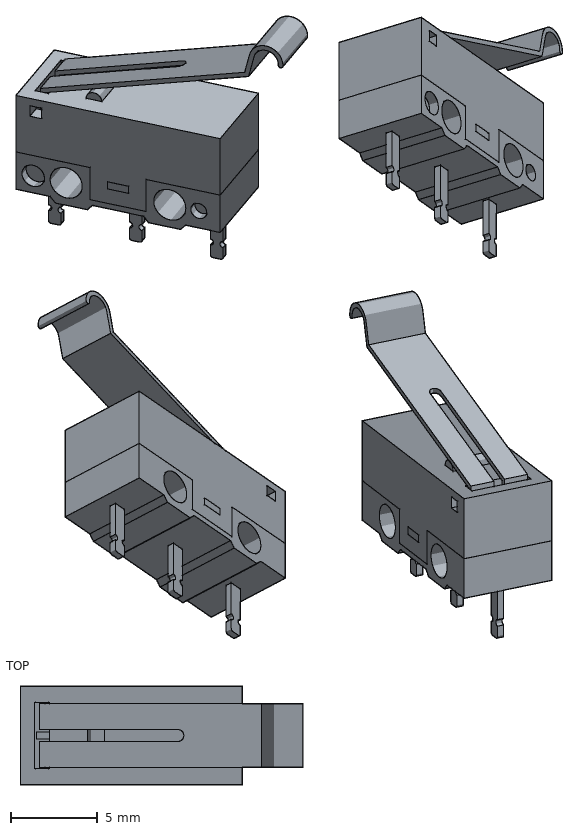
import cadquery as cq
import math


OVERALL_LENGTH = 16.31
OVERALL_HEIGHT = 15.9

HOUSING_LENGTH = 12.8
HOUSING_DEPTH = 5.7
HOUSING_HEIGHT = 6.26
BASE_HEIGHT = 2.5
MIDDLE_X = HOUSING_LENGTH / 2

TONGUE_WIDTH = 3.49
TONGUE_BOTTOM = 0.36
TONGUE_THICKNESS = 0.49
LATCH_WIDTH = 1.34
LATCH_HEIGHT = 0.47
LATCH_BOTTOM = 1.32

FOOT_OFFSET = 2.92
FOOT_HEIGHT = 0.36
FOOT_TOP_LENGTH = 2.65
FOOT_BOTTOM_LENGTH = 2.0

HOLE_Z = 1.14
MOUNTING_HOLE_DIAMETER = 2.0
MOUNTING_HOLE_OFFSET = 3.25
LEFT_RECESS_X = 1.1
LEFT_RECESS_DIAMETER = 1.4
RIGHT_RECESS_X = 11.47
RIGHT_RECESS_DIAMETER = 1.0
RECESS_DEPTH = 0.6

TERMINAL_PITCH = 5.07
TERMINAL_WIDTH = 0.8
TERMINAL_THICKNESS = 0.4
TERMINAL_LENGTH_BELOW = 3.44
TERMINAL_TIP_FILLET = 0.16
TERMINAL_NOTCH_RADIUS = 0.2
TERMINAL_NOTCH_Z = -2.43
TERMINAL_XS = [MIDDLE_X + i * TERMINAL_PITCH for i in (-1, 0, 1)]

LEVER_WIDTH = 3.69
LEVER_THICKNESS = 0.3
LEVER_LEG_X = 1.11
LEVER_CORNER_Z = 6.45
ARM_ANGLE = math.radians(17.2)
STEM_ANGLE = math.radians(76.2)
HOOK_RADIUS = 1.06
HOOK_INNER_RADIUS = HOOK_RADIUS - LEVER_THICKNESS
HOOK_END_ANGLE = math.radians(-3)
HOOK_X = OVERALL_LENGTH - HOOK_RADIUS
HOOK_Z = OVERALL_HEIGHT - TERMINAL_LENGTH_BELOW - HOOK_RADIUS
LEVER_SLOT_WIDTH = 0.69
LEVER_SLOT_END_X = 9.43

LEVER_OPENING_X = 0.82
LEVER_OPENING_LENGTH = 0.85
LEVER_OPENING_WIDTH = 3.82
WINDOW_LENGTH = 0.73
WINDOW_HEIGHT = 0.7
WINDOW_X = 0.88
WINDOW_BOTTOM = 5.07

PLUNGER_X = 4.35
PLUNGER_LENGTH = 1.0
PLUNGER_HEIGHT = 0.47
PLUNGER_WIDTH = 3.15
PLUNGER_DEPTH = 1.0


def block(x, z, length, height, width, y=0.0):
    """Box from its left X and bottom Z, with its width centred on y."""
    corner = cq.Workplane("XY", origin=(x, y, z))
    return corner.box(length, width, height, centered=(False, True, False))


def across(sketch, width):
    """Extrude an XZ outline symmetrically about the middle plane."""
    return sketch.extrude(width / 2, both=True)


def front_and_rear_blocks(bottom, length, height):
    """Matching blocks at mid-length of the housing, set in its front and rear faces."""
    y = (HOUSING_DEPTH - TONGUE_THICKNESS) / 2
    left = MIDDLE_X - length / 2
    return [block(left, bottom, length, height, TONGUE_THICKNESS, side * y) for side in (-1, 1)]


def tongues():
    """Tongues of the cover, before their openings are cut."""
    return front_and_rear_blocks(TONGUE_BOTTOM, TONGUE_WIDTH, BASE_HEIGHT - TONGUE_BOTTOM)


def latches():
    """Latches of the base, which fill the openings of the tongues."""
    return front_and_rear_blocks(LATCH_BOTTOM, LATCH_WIDTH, LATCH_HEIGHT)


def make_plunger():
    """Stem with a rounded top that stands out of the cover."""
    left = PLUNGER_X - PLUNGER_LENGTH / 2
    right = PLUNGER_X + PLUNGER_LENGTH / 2
    bottom = HOUSING_HEIGHT - PLUNGER_DEPTH
    outline = (
        cq.Workplane("XZ")
        .moveTo(left, bottom)
        .lineTo(left, HOUSING_HEIGHT)
        .threePointArc((PLUNGER_X, HOUSING_HEIGHT + PLUNGER_HEIGHT), (right, HOUSING_HEIGHT))
        .lineTo(right, bottom)
        .close()
    )
    return across(outline, PLUNGER_WIDTH)


def make_cover(plunger):
    """Upper housing with its tongues, lever opening, side window and plunger pocket."""
    upper_height = HOUSING_HEIGHT - BASE_HEIGHT
    cover = block(0, BASE_HEIGHT, HOUSING_LENGTH, upper_height, HOUSING_DEPTH)
    for tongue in tongues():
        cover = cover.union(tongue)
    for latch in latches():
        cover = cover.cut(latch)
    lever_opening = block(
        LEVER_OPENING_X, BASE_HEIGHT, LEVER_OPENING_LENGTH, upper_height, LEVER_OPENING_WIDTH
    )
    window = block(WINDOW_X, WINDOW_BOTTOM, WINDOW_LENGTH, WINDOW_HEIGHT, HOUSING_DEPTH)
    return cover.cut(lever_opening).cut(window).cut(plunger)


def foot(x):
    """Tapered foot under the base, centred on x."""
    half_top = FOOT_TOP_LENGTH / 2
    half_bottom = FOOT_BOTTOM_LENGTH / 2
    corners = [
        (x - half_top, 0),
        (x - half_bottom, -FOOT_HEIGHT),
        (x + half_bottom, -FOOT_HEIGHT),
        (x + half_top, 0),
    ]
    outline = cq.Workplane("XZ").polyline(corners).close()
    return across(outline, HOUSING_DEPTH)


def front_recess(x, diameter):
    """Blind round hole in the front face of the base."""
    front = cq.Workplane("XZ", origin=(0, -HOUSING_DEPTH / 2, 0))
    return front.center(x, HOLE_Z).circle(diameter / 2).extrude(-RECESS_DEPTH)


def make_base(terminals):
    """Lower housing with its latches, feet, holes and terminal slots."""
    base = block(0, 0, HOUSING_LENGTH, BASE_HEIGHT, HOUSING_DEPTH)
    for tongue in tongues():
        base = base.cut(tongue)
    for latch in latches():
        base = base.union(latch)
    for side in (-1, 1):
        base = base.union(foot(MIDDLE_X + side * FOOT_OFFSET))
    for side in (-1, 1):
        hole = cq.Workplane("XZ").center(MIDDLE_X + side * MOUNTING_HOLE_OFFSET, HOLE_Z)
        base = base.cut(across(hole.circle(MOUNTING_HOLE_DIAMETER / 2), HOUSING_DEPTH))
    base = base.cut(front_recess(LEFT_RECESS_X, LEFT_RECESS_DIAMETER))
    base = base.cut(front_recess(RIGHT_RECESS_X, RIGHT_RECESS_DIAMETER))
    for terminal in terminals:
        base = base.cut(terminal)
    return base


def make_terminal(x):
    """Flat pin through the base with a rounded tip and a round notch in each edge."""
    length = BASE_HEIGHT + TERMINAL_LENGTH_BELOW
    pin = block(x - TERMINAL_WIDTH / 2, -TERMINAL_LENGTH_BELOW, TERMINAL_WIDTH, length, TERMINAL_THICKNESS)
    pin = pin.edges("|Y and <Z").fillet(TERMINAL_TIP_FILLET)
    for side in (-1, 1):
        notch = cq.Workplane("XZ").center(x + side * TERMINAL_WIDTH / 2, TERMINAL_NOTCH_Z)
        pin = pin.cut(across(notch.circle(TERMINAL_NOTCH_RADIUS), TERMINAL_THICKNESS))
    return pin


def crossing(point_a, angle_a, point_b, angle_b):
    """Point where two lines meet, each given by a point and a direction angle."""
    dx = point_b[0] - point_a[0]
    dz = point_b[1] - point_a[1]
    reach = (dx * math.sin(angle_b) - dz * math.cos(angle_b)) / math.sin(angle_b - angle_a)
    return (point_a[0] + reach * math.cos(angle_a), point_a[1] + reach * math.sin(angle_a))


def hook_point(radius, angle):
    """Point around the hook axis."""
    return (HOOK_X + radius * math.cos(angle), HOOK_Z + radius * math.sin(angle))


def make_lever():
    """Bent strip: leg in the cover, sloping arm, upright stem and rolled hook, with a slotted arm."""
    upper_corner = (LEVER_LEG_X, LEVER_CORNER_Z)
    inner_leg_x = LEVER_LEG_X + LEVER_THICKNESS
    arm_underside = (
        LEVER_LEG_X + LEVER_THICKNESS * math.sin(ARM_ANGLE),
        LEVER_CORNER_Z - LEVER_THICKNESS * math.cos(ARM_ANGLE),
    )
    lower_corner = crossing(arm_underside, ARM_ANGLE, (inner_leg_x, 0), math.pi / 2)

    tangent_angle = STEM_ANGLE + math.pi / 2
    outer_tangent = hook_point(HOOK_RADIUS, tangent_angle)
    inner_tangent = hook_point(HOOK_INNER_RADIUS, tangent_angle)
    upper_bend = crossing(upper_corner, ARM_ANGLE, outer_tangent, STEM_ANGLE)
    lower_bend = crossing(arm_underside, ARM_ANGLE, inner_tangent, STEM_ANGLE)

    middle_radius = HOOK_RADIUS - LEVER_THICKNESS / 2
    tip_angle = HOOK_END_ANGLE - LEVER_THICKNESS / 2 / middle_radius
    outline = (
        cq.Workplane("XZ")
        .moveTo(LEVER_LEG_X, WINDOW_BOTTOM)
        .lineTo(*upper_corner)
        .lineTo(*upper_bend)
        .lineTo(*outer_tangent)
        .threePointArc(hook_point(HOOK_RADIUS, math.pi / 2), hook_point(HOOK_RADIUS, HOOK_END_ANGLE))
        .threePointArc(hook_point(middle_radius, tip_angle), hook_point(HOOK_INNER_RADIUS, HOOK_END_ANGLE))
        .threePointArc(hook_point(HOOK_INNER_RADIUS, math.pi / 2), inner_tangent)
        .lineTo(*lower_bend)
        .lineTo(*lower_corner)
        .lineTo(inner_leg_x, WINDOW_BOTTOM)
        .close()
    )
    lever = across(outline, LEVER_WIDTH)

    round_x = LEVER_SLOT_END_X - LEVER_SLOT_WIDTH / 2
    slot_height = HOOK_Z - WINDOW_BOTTOM
    slot = block(0, WINDOW_BOTTOM, round_x, slot_height, LEVER_SLOT_WIDTH)
    slot_end = cq.Workplane("XY", origin=(round_x, 0, WINDOW_BOTTOM))
    round_end = slot_end.circle(LEVER_SLOT_WIDTH / 2).extrude(slot_height)
    return lever.cut(slot).cut(round_end)


plunger = make_plunger()
terminals = [make_terminal(x) for x in TERMINAL_XS]
cover = make_cover(plunger)
base = make_base(terminals)
lever = make_lever()

result = cq.Compound.makeCompound(
    [cover.val(), base.val(), plunger.val(), lever.val(), *[terminal.val() for terminal in terminals]]
)